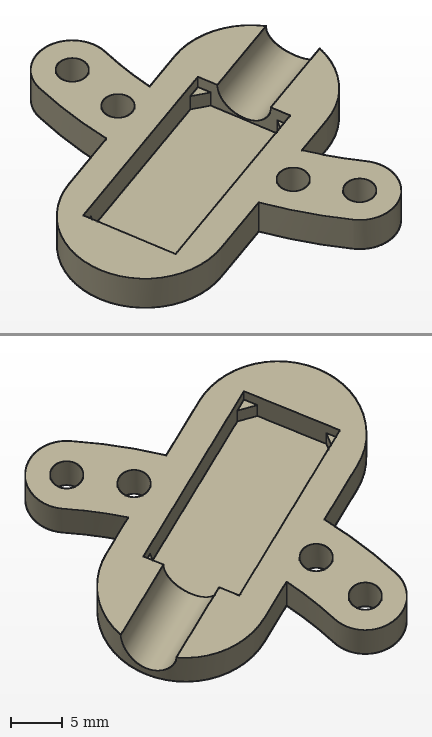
import cadquery as cq
import math

thickness = 4.0
overall_width = 40.15
body_width = 17.0
body_length = 37.1

arm_end_radius = 4.0
arm_bend_radius = 43.2
arm_bend_center_y = 43.5
arm_end_x = overall_width / 2 - arm_end_radius
inner_hole_x = 9.8
hole_diameter = 3.2

pocket_width = 10.3
pocket_length = 21.75
pocket_center_y = -2.13
pocket_floor_z = 0.8
support_leg = 1.45
support_top_z = 2.6

channel_diameter = 6.0
channel_axis_z = thickness


def bend_point(x, radius):
    """Point at x on the lower side of a circle around the bend centre."""
    return (x, arm_bend_center_y - math.sqrt(radius**2 - x**2))


def make_body():
    return cq.Workplane("XY").slot2D(body_length, body_width, 90).extrude(thickness)


def make_arms():
    upper_radius = arm_bend_radius - arm_end_radius
    lower_radius = arm_bend_radius + arm_end_radius
    upper_end_x = arm_end_x * upper_radius / arm_bend_radius
    lower_end_x = arm_end_x * lower_radius / arm_bend_radius
    band = (
        cq.Workplane("XY")
        .moveTo(*bend_point(-upper_end_x, upper_radius))
        .threePointArc(bend_point(0, upper_radius), bend_point(upper_end_x, upper_radius))
        .lineTo(*bend_point(lower_end_x, lower_radius))
        .threePointArc(bend_point(0, lower_radius), bend_point(-lower_end_x, lower_radius))
        .close()
        .extrude(thickness)
    )
    end_centers = [bend_point(side * arm_end_x, arm_bend_radius) for side in (-1, 1)]
    ends = cq.Workplane("XY").pushPoints(end_centers).circle(arm_end_radius).extrude(thickness)
    return band.union(ends)


def make_holes():
    hole_xs = (-arm_end_x, -inner_hole_x, inner_hole_x, arm_end_x)
    centers = [bend_point(x, arm_bend_radius) for x in hole_xs]
    return cq.Workplane("XY").pushPoints(centers).circle(hole_diameter / 2).extrude(thickness)


def make_pocket():
    plan = cq.Workplane("XY", origin=(0, pocket_center_y, pocket_floor_z)).rect(pocket_width, pocket_length)
    lower = plan.extrude(support_top_z - pocket_floor_z).edges("|Z").chamfer(support_leg)
    upper = (
        cq.Workplane("XY", origin=(0, pocket_center_y, support_top_z))
        .rect(pocket_width, pocket_length)
        .extrude(thickness - support_top_z)
    )
    return lower.union(upper)


def make_channel():
    pocket_end_y = pocket_center_y + pocket_length / 2
    return (
        cq.Workplane("XZ", origin=(0, pocket_end_y, channel_axis_z))
        .circle(channel_diameter / 2)
        .extrude(pocket_end_y - body_length / 2)
    )


result = make_body().union(make_arms()).cut(make_holes()).cut(make_pocket()).cut(make_channel())